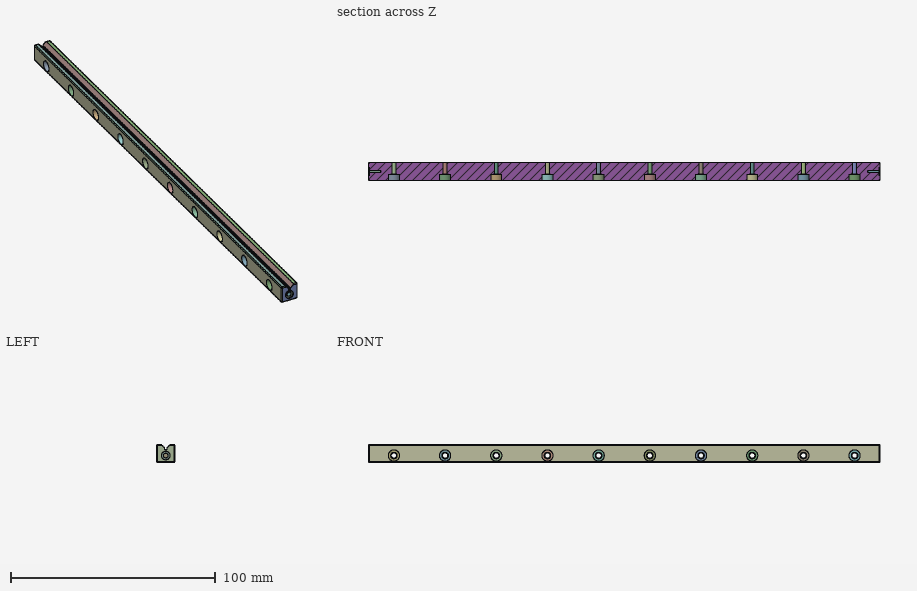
import cadquery as cq

length = 250.0
width = 9.0
height = 9.0
edge_chamfer = 0.5

groove_width = 4.6
relief_width = 1.0
relief_depth = 0.8
groove_depth = (groove_width - relief_width) / 2

mount_pitch = 25.0
mount_count = 10
mount_height = 3.5
mount_diameter = 2.65
counterbore_diameter = 5.5
counterbore_depth = 3.0
bevel_diameter = 3.2
bevel_depth = (bevel_diameter - mount_diameter) / 2

end_hole_height = 3.5
end_hole_diameter = 2.26
end_hole_depth = 6.0
end_counterbore_diameter = 4.2
end_counterbore_depth = 0.5

top = height / 2
bottom = -height / 2
front = -width / 2


def make_body():
    """Square bar with all its outer edges chamfered."""
    bar = cq.Workplane("XY").box(length, width, height)
    bar = bar.edges("|X").chamfer(edge_chamfer)
    return bar.faces("<X or >X").chamfer(edge_chamfer)


def make_groove():
    """V groove with its relief slot, as a cutter along the whole rail."""
    root = top - groove_depth
    relief_floor = root - relief_depth
    outline = [
        (-groove_width / 2, top),
        (-relief_width / 2, root),
        (-relief_width / 2, relief_floor),
        (relief_width / 2, relief_floor),
        (relief_width / 2, root),
        (groove_width / 2, top),
    ]
    return cq.Workplane("YZ").polyline(outline).close().extrude(length / 2, both=True)


def make_mounting_hole(x):
    """Through hole with bevel and counterbore, as a cutter revolved about its axis along Y."""
    floor = front + counterbore_depth
    bore_radius = mount_diameter / 2
    bevel_radius = bevel_diameter / 2
    counterbore_radius = counterbore_diameter / 2
    half_section = [
        (0, front),
        (counterbore_radius, front),
        (counterbore_radius, floor),
        (bevel_radius, floor),
        (bore_radius, floor + bevel_depth),
        (bore_radius, -front),
        (0, -front),
    ]
    cutter = cq.Workplane("XY").polyline(half_section).close().revolve(360, (0, 0, 0), (0, 1, 0))
    return cutter.translate((x, 0, bottom + mount_height))


def cut_end_hole(body, end):
    """Counterbored blind hole in one end face, chosen by its selector."""
    return (
        body.faces(end)
        .workplane(origin=(0, 0, bottom + end_hole_height))
        .cboreHole(end_hole_diameter, end_counterbore_diameter, end_counterbore_depth, end_hole_depth)
    )


result = make_body().cut(make_groove())

first_mount_x = -mount_pitch * (mount_count - 1) / 2
for index in range(mount_count):
    result = result.cut(make_mounting_hole(first_mount_x + index * mount_pitch))

for end_face in ("<X", ">X"):
    result = cut_end_hole(result, end_face)